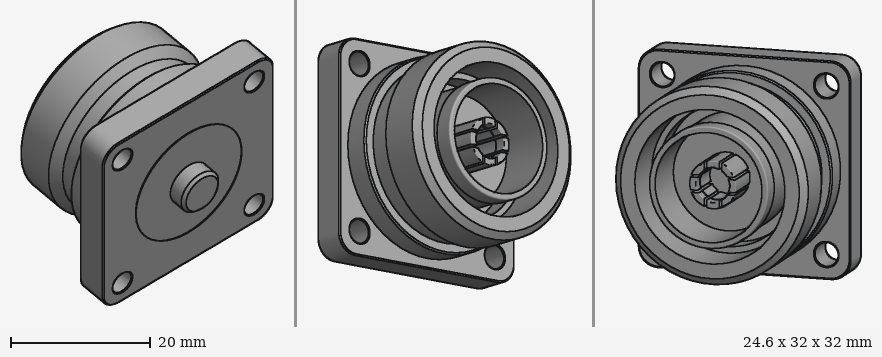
import cadquery as cq

sleeve_tip_x = 0.0
body_front_x = 0.6
body_chamfer_end_x = 1.6
groove_taper_start_x = 7.7
groove_start_x = 9.1
collar_front_x = 12.5
flange_front_x = 16.45
flange_rear_x = 21.6
rear_disc_x = 21.72
pin_end_x = 24.62

body_radius = 14.5
body_front_radius = 13.45
groove_radius = 13.0
collar_chamfer = 0.25

flange_side = 32.0
flange_corner_radius = 3.0
flange_edge_chamfer = 0.2
hole_radius = 1.75
hole_chamfer = 0.15
hole_offset = 12.35

cavity_radius = 11.3
cavity_step_radius = 10.35
cavity_step_x = 8.4
cavity_floor_x = 12.0

sleeve_radius = 8.95
sleeve_bore_radius = 8.05
sleeve_waist_radius = 8.7
sleeve_tip_fillet = 0.25
sleeve_lip_end_x = 2.9
sleeve_floor_x = 8.4

contact_radius = 3.5
contact_bore_radius = 2.5
contact_inner_bore_radius = 2.55
contact_tip_fillet = 0.1
contact_tip_x = 1.95
contact_bore_step_x = 3.75
slot_width = 0.39
slot_offset = 1.13

rear_disc_radius = 9.9
pin_radius = 3.5
pin_chamfer = 0.5


def cylinder(radius, start_x, end_x):
    """Solid cylinder on the X axis between two stations."""
    return cq.Workplane("YZ", origin=(start_x, 0, 0)).circle(radius).extrude(end_x - start_x)


def make_body():
    """Turned shell: chamfered front barrel, waist groove and rear collar."""
    profile = [
        (body_front_x, 0),
        (body_front_x, body_front_radius),
        (body_chamfer_end_x, body_radius),
        (groove_taper_start_x, body_radius),
        (groove_start_x, groove_radius),
        (collar_front_x, groove_radius),
        (collar_front_x, body_radius - collar_chamfer),
        (collar_front_x + collar_chamfer, body_radius),
        (flange_front_x, body_radius),
        (flange_front_x, 0),
    ]
    return cq.Workplane("XY").polyline(profile).close().revolve(360, (0, 0, 0), (1, 0, 0))


def make_flange():
    """Square mounting plate with rounded corners and four chamfered holes."""
    thickness = flange_rear_x - flange_front_x
    plate = (
        cq.Workplane("YZ", origin=(flange_front_x, 0, 0))
        .rect(flange_side, flange_side)
        .extrude(thickness)
        .edges("|X")
        .fillet(flange_corner_radius)
        .faces("<X or >X")
        .chamfer(flange_edge_chamfer)
    )
    holes = (
        cq.Workplane("YZ", origin=(flange_front_x, 0, 0))
        .rect(2 * hole_offset, 2 * hole_offset, forConstruction=True)
        .vertices()
        .circle(hole_radius)
        .extrude(thickness)
    )
    drilled = plate.cut(holes)
    smallest_circles = cq.selectors.RadiusNthSelector(0)
    return drilled.edges("%CIRCLE").edges(smallest_circles).chamfer(hole_chamfer)


def make_cavity():
    """Stepped round recess open at the front of the body."""
    mouth = cylinder(cavity_radius, sleeve_tip_x, cavity_step_x)
    return mouth.union(cylinder(cavity_step_radius, cavity_step_x, cavity_floor_x))


def make_sleeve():
    """Thin inner sleeve with a slightly wider front lip, standing in the cavity."""
    lip = cylinder(sleeve_radius, sleeve_tip_x, sleeve_lip_end_x).faces("<X").edges().fillet(sleeve_tip_fillet)
    waist = cylinder(sleeve_waist_radius, sleeve_lip_end_x, flange_front_x)
    return lip.union(waist).cut(cylinder(sleeve_bore_radius, sleeve_tip_x, sleeve_floor_x))


def make_contact():
    """Tubular centre contact split into eight fingers by two pairs of crossing slots."""
    contact = cylinder(contact_radius, contact_tip_x, flange_front_x)
    contact = contact.cut(cylinder(contact_bore_radius, contact_tip_x, contact_bore_step_x))
    contact = contact.faces("<X").edges().fillet(contact_tip_fillet)
    contact = contact.cut(cylinder(contact_inner_bore_radius, contact_bore_step_x, sleeve_floor_x))
    slot_length = sleeve_floor_x - contact_tip_x
    slot_mid_x = (sleeve_floor_x + contact_tip_x) / 2
    for offset in (-slot_offset, slot_offset):
        upright = cq.Workplane("XY").box(slot_length, slot_width, 2 * contact_radius)
        level = cq.Workplane("XY").box(slot_length, 2 * contact_radius, slot_width)
        contact = contact.cut(upright.translate((slot_mid_x, offset, 0)))
        contact = contact.cut(level.translate((slot_mid_x, 0, offset)))
    return contact


def make_rear_end():
    """Low disc on the back of the flange carrying the chamfered rear pin."""
    disc = cylinder(rear_disc_radius, flange_rear_x, rear_disc_x)
    pin = cylinder(pin_radius, flange_rear_x, pin_end_x).faces(">X").chamfer(pin_chamfer)
    return disc.union(pin)


shell = make_body().cut(make_cavity()).union(make_flange())
result = shell.union(make_sleeve()).union(make_contact()).union(make_rear_end())